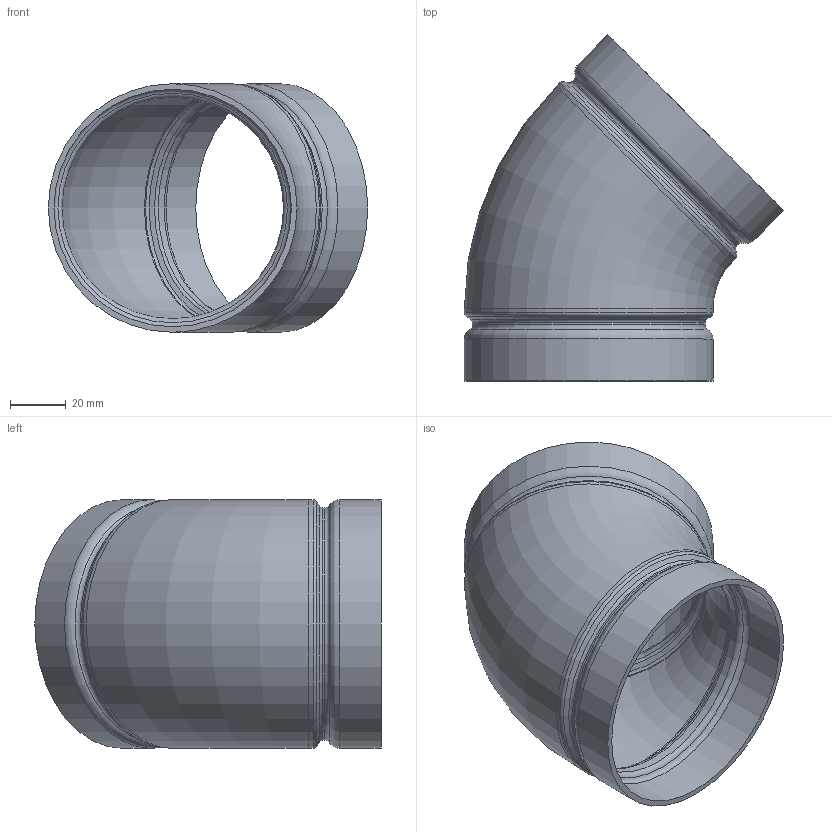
import cadquery as cq
import math


OUTER_DIAMETER = 88.9
WALL = 2.0
OUTER_RADIUS = OUTER_DIAMETER / 2
INNER_RADIUS = OUTER_RADIUS - WALL

BEND_ANGLE = 45.0
BEND_RADIUS = 68.0
CENTER_TO_END = 54.11
STRAIGHT_LENGTH = CENTER_TO_END - BEND_RADIUS * math.tan(math.radians(BEND_ANGLE / 2))

GROOVE_DIAMETER = 83.19
GROOVE_DEPTH = (OUTER_DIAMETER - GROOVE_DIAMETER) / 2
COLLAR_LENGTH = 15.0
SHOULDER_OUTER_RADIUS = 4.0
SHOULDER_INNER_RADIUS = SHOULDER_OUTER_RADIUS - WALL
ROOT_RADIUS = 2.0
FLOOR_END = 20.8
RAMP_ANGLE = 55.0
RAMP_FILLET = 1.5
RAMP_WALL_SHIFT = WALL * math.tan(math.radians(RAMP_ANGLE / 2))


def point_on_arc(center, radius, angle):
    """Point of a circle, with the angle in degrees from the radial (outward) direction towards +Y."""
    turn = math.radians(angle)
    return (center[0] + radius * math.cos(turn), center[1] + radius * math.sin(turn))


def grooved_solid(pipe_radius, shoulder_radius, floor_end):
    """Solid of revolution about Y, bounded by one skin of the grooved pipe end."""
    floor_radius = pipe_radius - GROOVE_DEPTH

    shoulder_angle = math.degrees(math.acos(1 - GROOVE_DEPTH / (shoulder_radius + ROOT_RADIUS)))
    shoulder_center = (pipe_radius - shoulder_radius, COLLAR_LENGTH)
    root_center = point_on_arc(shoulder_center, shoulder_radius + ROOT_RADIUS, shoulder_angle)

    ramp_turn = math.radians(RAMP_ANGLE)
    cone_rise = GROOVE_DEPTH - 2 * RAMP_FILLET * (1 - math.cos(ramp_turn))
    ramp_length = 2 * RAMP_FILLET * math.sin(ramp_turn) + cone_rise / math.tan(ramp_turn)
    foot_center = (floor_radius + RAMP_FILLET, floor_end)
    crest_center = (pipe_radius - RAMP_FILLET, floor_end + ramp_length)

    profile = (
        cq.Workplane("XY")
        .lineTo(pipe_radius, 0)
        .lineTo(pipe_radius, COLLAR_LENGTH)
        .threePointArc(
            point_on_arc(shoulder_center, shoulder_radius, shoulder_angle / 2),
            point_on_arc(shoulder_center, shoulder_radius, shoulder_angle),
        )
        .threePointArc(
            point_on_arc(root_center, ROOT_RADIUS, 180 + shoulder_angle / 2),
            (floor_radius, root_center[1]),
        )
        .lineTo(floor_radius, floor_end)
        .threePointArc(
            point_on_arc(foot_center, RAMP_FILLET, 180 - RAMP_ANGLE / 2),
            point_on_arc(foot_center, RAMP_FILLET, 180 - RAMP_ANGLE),
        )
        .lineTo(*point_on_arc(crest_center, RAMP_FILLET, -RAMP_ANGLE))
        .threePointArc(
            point_on_arc(crest_center, RAMP_FILLET, -RAMP_ANGLE / 2),
            (pipe_radius, crest_center[1]),
        )
        .lineTo(pipe_radius, STRAIGHT_LENGTH)
        .lineTo(0, STRAIGHT_LENGTH)
        .close()
    )
    return profile.revolve(360, (0, 0, 0), (0, 1, 0))


def make_grooved_end():
    """Hollow grooved pipe end from Y = 0 to the start of the bend."""
    outside = grooved_solid(OUTER_RADIUS, SHOULDER_OUTER_RADIUS, FLOOR_END)
    inside = grooved_solid(INNER_RADIUS, SHOULDER_INNER_RADIUS, FLOOR_END + RAMP_WALL_SHIFT)
    return outside.cut(inside)


def make_bend():
    """Hollow torus segment between the two straight ends."""
    ring = (
        cq.Workplane("XZ", origin=(0, STRAIGHT_LENGTH, 0))
        .circle(OUTER_RADIUS)
        .circle(INNER_RADIUS)
    )
    return ring.revolve(BEND_ANGLE, (BEND_RADIUS, 1, 0), (BEND_RADIUS, 0, 0))


def place_at_far_end(grooved_end):
    """Turn a grooved end to face outward at the far side of the bend."""
    turn = math.radians(BEND_ANGLE)
    far_x = CENTER_TO_END * math.sin(turn)
    far_y = CENTER_TO_END + CENTER_TO_END * math.cos(turn)
    return grooved_end.rotate((0, 0, 0), (0, 0, 1), 180 - BEND_ANGLE).translate((far_x, far_y, 0))


near_end = make_grooved_end()
far_end = place_at_far_end(near_end)
result = make_bend().union(near_end).union(far_end)